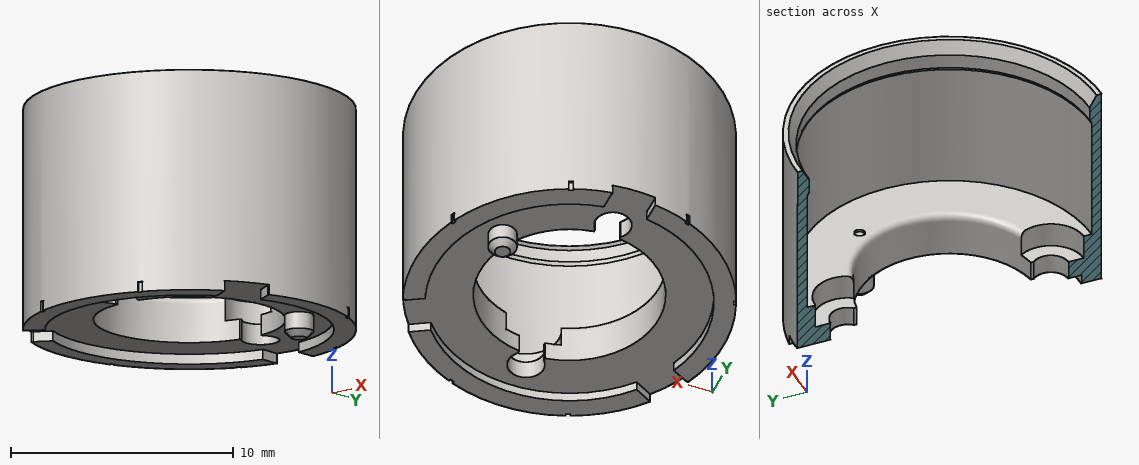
import cadquery as cq
import math

outer_radius = 15.0 / 2
body_height = 10.2
floor_top = 2.6
bore_radius = 14.0 / 2

lip_radius = 13.8 / 2
lip_chamfer_width = 0.35
lip_chamfer_depth = 0.6
lip_land = 0.7
lip_underside_taper = 0.17

recess_radius = 6.5
recess_depth = 0.46

opening_radius = 4.33
opening_fillet = 0.31

keyhole_pitch_radius = 5.0
keyhole_radius = 0.85
keyhole_neck_width = 1.25
counterbore_radius = 1.6
counterbore_depth = 1.2

notch_count = 3
notch_first_angle = 90
notch_width = 2.1
slit_count = 8
slit_width = 0.2
slit_depth = 0.1

notch_inner_reach = recess_radius - 1
cut_outer_reach = outer_radius + 1

pin_pitch_radius = 5.0
pin_angle = 30
pin_radius = 0.65
pin_projection = 0.6
pin_chamfer = 0.3
dimple_radius = 0.5 / 2
dimple_depth = 0.12


def cylinder(radius, bottom, top, x=0, y=0):
    """Vertical cylinder between two heights."""
    return cq.Workplane("XY", origin=(x, y, bottom)).circle(radius).extrude(top - bottom)


def radial_block(inner, outer, width, bottom, top, angle):
    """Rectangular block along a radius, turned about Z to the given angle."""
    block = cq.Workplane("XY").box(outer - inner, width, top - bottom, centered=(False, True, False))
    return block.translate((inner, 0, bottom)).rotate((0, 0, 0), (0, 0, 1), angle)


def make_cup():
    """Turned cup with a lipped bore, a recessed underside and an open floor."""
    chamfer_bottom = body_height - lip_chamfer_depth
    lip_bottom = chamfer_bottom - lip_land
    profile = (
        cq.Workplane("XZ")
        .moveTo(recess_radius, 0)
        .lineTo(outer_radius, 0)
        .lineTo(outer_radius, body_height)
        .lineTo(lip_radius + lip_chamfer_width, body_height)
        .lineTo(lip_radius, chamfer_bottom)
        .lineTo(lip_radius, lip_bottom)
        .lineTo(bore_radius, lip_bottom - lip_underside_taper)
        .lineTo(bore_radius, floor_top)
        .lineTo(opening_radius + opening_fillet, floor_top)
        .radiusArc((opening_radius, floor_top - opening_fillet), -opening_fillet)
        .lineTo(opening_radius, recess_depth)
        .lineTo(recess_radius, recess_depth)
        .close()
    )
    return profile.revolve(360, (0, 0, 0), (0, 1, 0))


def cut_keyholes(body):
    """Counterbored holes on the Y axis, each with a neck into the opening."""
    for side in (1, -1):
        y = side * keyhole_pitch_radius
        counterbore = cylinder(counterbore_radius, floor_top - counterbore_depth, floor_top, y=y)
        hole = cylinder(keyhole_radius, 0, floor_top, y=y)
        neck = radial_block(0, keyhole_pitch_radius - keyhole_radius / 2, keyhole_neck_width,
                            0, floor_top, side * 90)
        body = body.cut(counterbore).cut(hole).cut(neck)
    return body


def cut_rim(body):
    """Wide notches through the bottom ring and index slits in its outside."""
    for i in range(notch_count):
        angle = notch_first_angle + i * 360 / notch_count
        body = body.cut(radial_block(notch_inner_reach, cut_outer_reach, notch_width, 0, recess_depth, angle))
    for i in range(slit_count):
        angle = (i + 0.5) * 360 / slit_count
        body = body.cut(
            radial_block(outer_radius - slit_depth, cut_outer_reach, slit_width, 0, recess_depth, angle))
    return body


def add_pin(body):
    """Chamfered pin under the floor and the dimple on the floor above it."""
    x = pin_pitch_radius * math.cos(math.radians(pin_angle))
    y = pin_pitch_radius * math.sin(math.radians(pin_angle))
    pin = cylinder(pin_radius, -pin_projection, recess_depth, x, y).faces("<Z").chamfer(pin_chamfer)
    dimple = cylinder(dimple_radius, floor_top - dimple_depth, floor_top, x, y)
    return body.union(pin).cut(dimple)


result = add_pin(cut_rim(cut_keyholes(make_cup())))